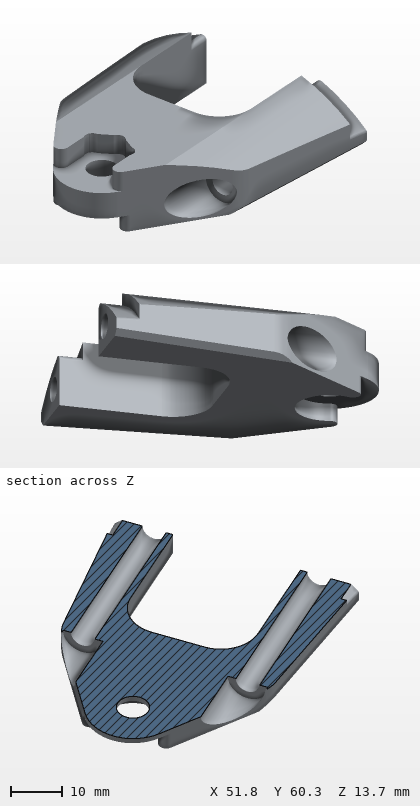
import cadquery as cq
import math

length = 60.3
height = 13.65
half_width = 25.9

nose_radius = 9.55
hole_y = nose_radius
flank_angle = 34.2
side_angle = 5.9
elbow_radius = 8.15
slot_half_width = 13.45
slot_floor_y = 31.75
slot_corner_radius = 7.85
bottom_chamfer = 1.2

crown_radius = 40.05
crown_center_z = height - math.sqrt(crown_radius**2 - slot_half_width**2)

body_length = 55.55
tongue_drop = 2.35
tongue_top_z = 10.6
tongue_inner_fillet = 0.95
tongue_outer_fillet = 0.65

tab_bottom_z = 3.6
tab_top_z = 9.35
nose_hole_radius = 3.2
nut_flats = 11.35
nut_relief_radius = 1.7
nut_relief_reach = 4.8
nut_blend_radius = 0.7
tip_radius = 1.55
lower_tip_y = 7.25

arm_hole_x = 17.45
arm_hole_z = 4.75
arm_hole_radius = 2.5
counterbore_radius = 4.15
counterbore_floor_y = 25.35

flank_slope = math.tan(math.radians(flank_angle))
side_slope = math.tan(math.radians(side_angle))
tangent_x = nose_radius * math.cos(math.radians(flank_angle))
tangent_y = hole_y - nose_radius * math.sin(math.radians(flank_angle))


def flank_x(y):
    """Half width of the flank at a given Y."""
    return tangent_x + flank_slope * (y - tangent_y)


side_at_tangent = half_width - side_slope * (length - tangent_y)
elbow_y = tangent_y + (side_at_tangent - tangent_x) / (flank_slope - side_slope)
elbow_x = flank_x(elbow_y)

tip_inset = tip_radius / math.cos(math.radians(flank_angle))
upper_tip_x = nut_flats / 2 + tip_radius
upper_tip_y = tangent_y + (upper_tip_x + tip_inset - tangent_x) / flank_slope
lower_tip_x = flank_x(lower_tip_y) - tip_inset
relief_radius = math.hypot(lower_tip_x, hole_y - lower_tip_y) - tip_radius


def box(x_min, x_max, y_min, y_max, z_min, z_max):
    return (
        cq.Workplane("XY")
        .box(x_max - x_min, y_max - y_min, z_max - z_min, centered=False)
        .translate((x_min, y_min, z_min))
    )


def make_outline():
    solid = (
        cq.Workplane("XY")
        .moveTo(-tangent_x, tangent_y)
        .threePointArc((0, 0), (tangent_x, tangent_y))
        .lineTo(elbow_x, elbow_y)
        .lineTo(half_width, length)
        .lineTo(-half_width, length)
        .lineTo(-elbow_x, elbow_y)
        .close()
        .extrude(height)
    )
    for x in (-elbow_x, elbow_x):
        elbow_edge = cq.selectors.NearestToPointSelector((x, elbow_y, height / 2))
        solid = solid.edges(elbow_edge).fillet(elbow_radius)
    return solid


def crown(radius, y_start, y_end):
    """Full cylinder whose upper surface forms a crowned top."""
    return (
        cq.Workplane("XZ", origin=(0, y_start, crown_center_z))
        .circle(radius)
        .extrude(y_start - y_end)
    )


def make_slot():
    slot = box(-slot_half_width, slot_half_width, slot_floor_y, length, 0, height)
    return slot.edges("|Z and <Y").fillet(slot_corner_radius)


def make_side_chamfer():
    """Wedge along the lower edge of the +X arm side."""
    plane = cq.Plane(
        origin=(half_width, length, 0),
        xDir=(1, -side_slope, 0),
        normal=(-side_slope, -1, 0),
    )
    return (
        cq.Workplane(plane)
        .polyline([(-bottom_chamfer, 0), (0, 0), (0, bottom_chamfer)])
        .close()
        .extrude(length, both=True)
    )


def make_tongue():
    """Lowered end of the +X arm, cut from its full outline."""
    tongue = make_outline().intersect(
        box(slot_half_width, half_width, body_length, length, 0, tongue_top_z)
    )
    tongue = tongue.intersect(crown(crown_radius - tongue_drop, body_length, length))
    middle_y = (body_length + length) / 2
    inner_edge = cq.selectors.NearestToPointSelector((slot_half_width, middle_y, tongue_top_z))
    tongue = tongue.edges(inner_edge).fillet(tongue_inner_fillet)
    outer_z = crown_center_z + math.sqrt((crown_radius - tongue_drop) ** 2 - half_width**2)
    outer_edge = cq.selectors.NearestToPointSelector((half_width, middle_y, outer_z))
    return tongue.edges(outer_edge).fillet(tongue_outer_fillet)


def front_cut(tip_x, tip_y, middle_y, z_min, z_max):
    """Removes the nose ahead of two tip circles, leaving the tips round."""
    touch_x = tip_x + tip_radius * math.cos(math.radians(flank_angle))
    touch_y = tip_y - tip_radius * math.sin(math.radians(flank_angle))
    right_side = [(tip_x, tip_y), (touch_x, touch_y), (touch_x, 0)]
    left_side = [(-x, y) for x, y in reversed(right_side)]
    plane = cq.Workplane("XY", origin=(0, 0, z_min))
    front = plane.polyline([(0, middle_y)] + right_side + left_side).close().extrude(z_max - z_min)
    tips = (
        plane.pushPoints([(-tip_x, tip_y), (tip_x, tip_y)])
        .circle(tip_radius)
        .extrude(z_max - z_min)
    )
    return front.cut(tips)


def is_relief_corner(edge):
    """True where a corner relief meets a nut flat, inside the nut's corner circle."""
    center = edge.Center()
    relief_tip = nut_relief_reach + nut_relief_radius
    mid_reach = (nut_flats / 2 + relief_tip) / 2
    return math.hypot(center.x, center.y - hole_y) < mid_reach


def make_nut_pocket():
    depth = height - tab_top_z
    plane = cq.Workplane("XY", origin=(0, hole_y, tab_top_z))
    nut_corners = nut_flats / math.cos(math.radians(30))
    pocket = plane.transformed(rotate=(0, 0, 30)).polygon(6, nut_corners).extrude(depth)
    for angle in (30, 90, 150):
        x = nut_relief_reach * math.cos(math.radians(angle))
        y = nut_relief_reach * math.sin(math.radians(angle))
        pocket = pocket.union(plane.center(x, y).circle(nut_relief_radius).extrude(depth))
    pocket = pocket.edges("|Z").filter(is_relief_corner).fillet(nut_blend_radius)

    half_flats = nut_flats / 2
    channel = box(-half_flats, half_flats, 0, hole_y, tab_top_z, height)
    front = front_cut(upper_tip_x, upper_tip_y, upper_tip_y, tab_top_z, height)
    return pocket.union(channel).union(front)


def make_lower_relief():
    relief = cq.Workplane("XY").center(0, hole_y).circle(relief_radius).extrude(tab_bottom_z)
    return relief.union(front_cut(lower_tip_x, lower_tip_y, hole_y, 0, tab_bottom_z))


def make_arm_hole(x):
    plane = cq.Workplane("XZ").center(x, arm_hole_z)
    hole = plane.circle(arm_hole_radius).extrude(-length)
    return hole.union(plane.circle(counterbore_radius).extrude(-counterbore_floor_y))


body = make_outline().intersect(crown(crown_radius, 0, body_length))
body = body.cut(make_slot())
tongue = make_tongue()
body = body.union(tongue).union(tongue.mirror("YZ"))
chamfer = make_side_chamfer()
body = body.cut(chamfer).cut(chamfer.mirror("YZ"))
body = body.cut(make_nut_pocket()).cut(make_lower_relief())
for hole_x in (-arm_hole_x, arm_hole_x):
    body = body.cut(make_arm_hole(hole_x))
nose_hole = cq.Workplane("XY").center(0, hole_y).circle(nose_hole_radius).extrude(height)
result = body.cut(nose_hole)